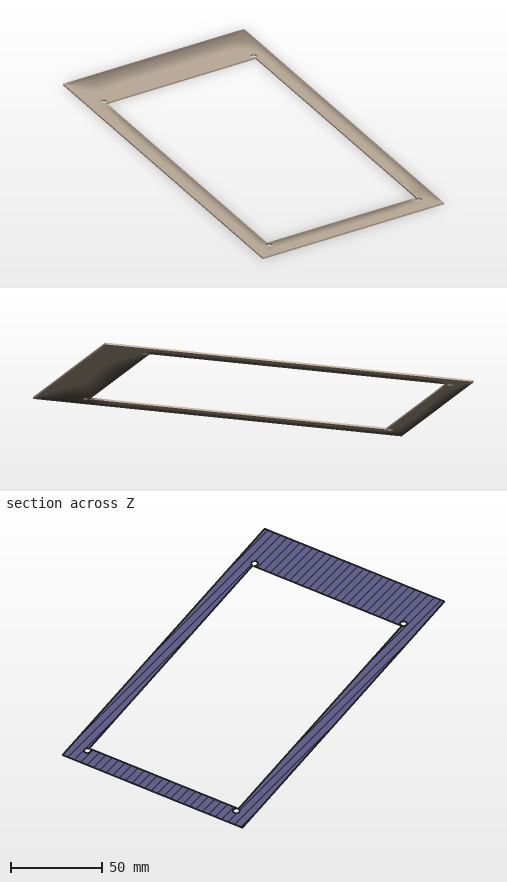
import cadquery as cq

length = 215
width = 115.0
thickness = 1.0

window_length = 173.0
window_width = 95.0
right_border = 12.5
window_x = length / 2 - right_border - window_length / 2

hole_diameter = 3.5
hole_spacing_x = 177.5
hole_spacing_y = 95.0

plate = cq.Workplane("XY").box(length, width, thickness)

window_cutter = (
    cq.Workplane("XY")
    .center(window_x, 0)
    .rect(window_length, window_width)
    .extrude(thickness, both=True)
)

hole_cutters = (
    cq.Workplane("XY")
    .center(window_x, 0)
    .rect(hole_spacing_x, hole_spacing_y, forConstruction=True)
    .vertices()
    .circle(hole_diameter / 2)
    .extrude(thickness, both=True)
)

result = plate.cut(window_cutter).cut(hole_cutters)